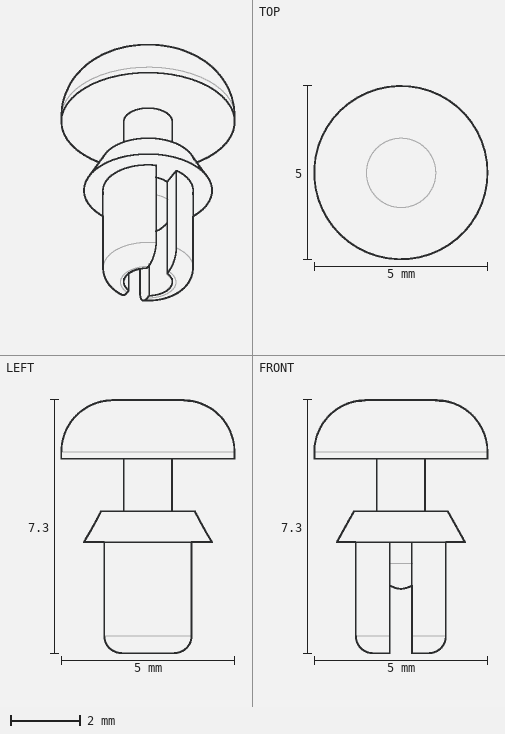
import cadquery as cq
import math


leg_diameter = 2.6
leg_length = 3.2
leg_end_radius = 0.5
slot_width = 0.64
collar_height = 0.9
collar_bottom_diameter = 3.7
collar_top_diameter = 2.7

shank_diameter = 1.4
shank_straight_below_collar = 0.6
shank_tip_radius = 0.75
head_gap = 1.5
head_diameter = 5.0
head_rim_height = 0.2
head_flat_diameter = 2.0

shank_radius = shank_diameter / 2
head_radius = head_diameter / 2
head_flat_radius = head_flat_diameter / 2
dome_radius = head_radius - head_flat_radius
collar_top = leg_length + collar_height
shank_straight_end = leg_length - shank_straight_below_collar
tip_arc_center_x = shank_radius - shank_tip_radius
shank_tip = shank_straight_end - math.sqrt(shank_tip_radius**2 - tip_arc_center_x**2)
head_bottom = collar_top + head_gap
head_rim_top = head_bottom + head_rim_height
head_top = head_rim_top + dome_radius


def revolve_about_z(profile):
    """Turn a closed radius-height outline, drawn in the XZ plane, about the Z axis."""
    return profile.close().revolve(360, (0, 0, 0), (0, 1, 0))


def arc_midpoint(center_x, center_z, radius, angle_degrees):
    """Point on a circle, used as the middle point of an arc."""
    angle = math.radians(angle_degrees)
    return center_x + radius * math.cos(angle), center_z + radius * math.sin(angle)


def make_sleeve():
    leg_radius = leg_diameter / 2
    end_flat_radius = leg_radius - leg_end_radius
    profile = (
        cq.Workplane("XZ")
        .lineTo(end_flat_radius, 0)
        .threePointArc(
            arc_midpoint(end_flat_radius, leg_end_radius, leg_end_radius, -45),
            (leg_radius, leg_end_radius),
        )
        .lineTo(leg_radius, leg_length)
        .lineTo(collar_bottom_diameter / 2, leg_length)
        .lineTo(collar_top_diameter / 2, collar_top)
        .lineTo(0, collar_top)
    )
    bore = cq.Workplane("XY").circle(shank_radius).extrude(collar_top)
    slot = cq.Workplane("XY").rect(slot_width, leg_diameter).extrude(leg_length)
    return revolve_about_z(profile).cut(bore).cut(slot)


def make_pin():
    profile = (
        cq.Workplane("XZ")
        .moveTo(0, shank_tip)
        .threePointArc(
            arc_midpoint(tip_arc_center_x, shank_straight_end, shank_tip_radius, -45),
            (shank_radius, shank_straight_end),
        )
        .lineTo(shank_radius, head_bottom)
        .lineTo(head_radius, head_bottom)
        .lineTo(head_radius, head_rim_top)
        .threePointArc(
            arc_midpoint(head_flat_radius, head_rim_top, dome_radius, 45),
            (head_flat_radius, head_top),
        )
        .lineTo(0, head_top)
    )
    return revolve_about_z(profile)


sleeve = make_sleeve()
pin = make_pin()

result = cq.Compound.makeCompound([*sleeve.solids().vals(), pin.val()])